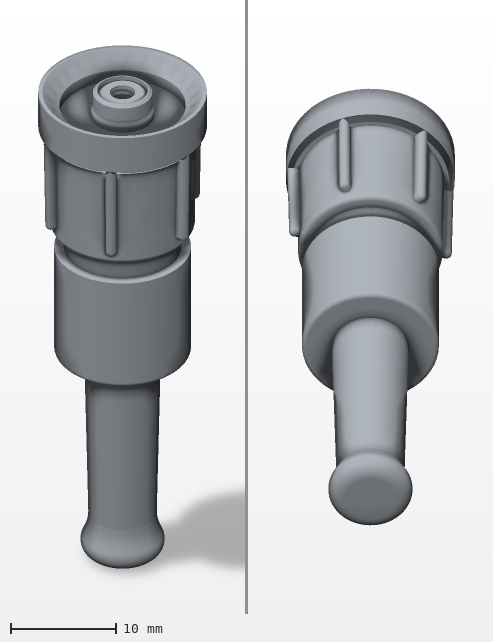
import cadquery as cq
import math

stem_flare_z = 4.6
body_bottom_z = 22.9
body_top_z = 34.7
barrel_bottom_z = 37.2
rib_bottom_z = 38.4
flange_bottom_z = 47.8
cup_floor_z = 49.5
cup_cone_z = 50.7
flange_top_z = 52.2
hub_top_z = 52.4

bulb_radius = 1.5
bulb_flat_radius = 2.5
stem_bottom_radius = 3.25
stem_top_radius = 3.65
body_radius = 6.5
neck_radius = 5.6
barrel_bottom_radius = 6.85
barrel_top_radius = 7.0
flange_radius = 8.0

body_fillet = 0.45
barrel_fillet = 0.45
flange_fillet = 0.5

cup_floor_radius = 6.0
cup_rim_radius = 7.6

hub_collar_radius = 2.98
hub_collar_height = 0.65
hub_radius = 2.82
hub_step_height = 1.0
hub_rim_radius = 2.5
hub_chamfer_height = 0.25
hub_groove_radius = 2.4
hub_groove_depth = 0.6
hub_face_radius = 2.0
hub_face_depth = 0.25

mouth_radius = 1.2
mouth_depth = 0.45
chamber_radius = 1.7
chamber_depth = 0.87
bore_radius = 1.1
bore_depth = 5.0

rib_count = 6
rib_width = 1.0
rib_depth = 2.0
rib_draft_angle = 1.0


def cylinder(radius, bottom_z, top_z):
    """Cylinder on the Z axis between two heights."""
    return cq.Workplane("XY").workplane(offset=bottom_z).circle(radius).extrude(top_z - bottom_z)


def cone(bottom_radius, bottom_z, top_radius, top_z):
    """Cone frustum on the Z axis between two heights."""
    return (
        cq.Workplane("XZ")
        .moveTo(0, bottom_z)
        .lineTo(bottom_radius, bottom_z)
        .lineTo(top_radius, top_z)
        .lineTo(0, top_z)
        .close()
        .revolve(360, (0, 0, 0), (0, 1, 0))
    )


def make_stem():
    """Tapered stem that flares through a concave arc into a rounded bulb."""
    offset = stem_bottom_radius - bulb_flat_radius
    rise = stem_flare_z - bulb_radius
    flare_radius = (offset**2 + rise**2 - bulb_radius**2) / (2 * (bulb_radius - offset))
    joint_angle = math.asin(rise / (bulb_radius + flare_radius))

    def on_bulb(angle):
        return (
            bulb_flat_radius + bulb_radius * math.cos(angle),
            bulb_radius + bulb_radius * math.sin(angle),
        )

    mid_flare_angle = joint_angle / 2
    mid_flare = (
        stem_bottom_radius + flare_radius * (1 - math.cos(mid_flare_angle)),
        stem_flare_z - flare_radius * math.sin(mid_flare_angle),
    )
    return (
        cq.Workplane("XZ")
        .lineTo(bulb_flat_radius, 0)
        .threePointArc(on_bulb(0), on_bulb(joint_angle))
        .threePointArc(mid_flare, (stem_bottom_radius, stem_flare_z))
        .lineTo(stem_top_radius, body_bottom_z)
        .lineTo(0, body_bottom_z)
        .close()
        .revolve(360, (0, 0, 0), (0, 1, 0))
    )


def make_body():
    """Cylindrical body with the narrower neck above it."""
    body = cylinder(body_radius, body_bottom_z, body_top_z).faces("<Z").edges().fillet(body_fillet)
    return body.union(cylinder(neck_radius, body_top_z, barrel_bottom_z))


def make_rib():
    """Round-nosed rib on the +X side, leaning inward towards its lower end."""
    half_width = rib_width / 2
    nose_x = flange_radius - half_width
    end_z = rib_bottom_z + half_width
    top_z = flange_bottom_z + flange_fillet
    height = top_z - end_z
    web = cq.Workplane("XY").box(rib_depth, rib_width, height, centered=(False, True, False))
    web = web.translate((nose_x - rib_depth, 0, end_z))
    web_end = cq.Workplane("YZ").circle(half_width).extrude(rib_depth)
    web_end = web_end.translate((nose_x - rib_depth, 0, end_z))
    nose = cq.Workplane("XY").circle(half_width).extrude(height).translate((nose_x, 0, end_z))
    nose_end = cq.Workplane("XY").sphere(half_width).translate((nose_x, 0, end_z))
    rib = web.union(web_end).union(nose).union(nose_end)
    return rib.rotate((nose_x, 0, top_z), (nose_x, 1, top_z), rib_draft_angle)


def make_cap():
    """Ribbed barrel topped by a wide flange with a conical cup sunk into it."""
    barrel = cone(barrel_bottom_radius, barrel_bottom_z, barrel_top_radius, flange_bottom_z)
    barrel = barrel.faces("<Z").edges().fillet(barrel_fillet)
    flange = cylinder(flange_radius, flange_bottom_z, flange_top_z)
    flange = flange.faces("<Z").edges().fillet(flange_fillet)
    cap = barrel.union(flange)
    rib = make_rib()
    for index in range(rib_count):
        angle = index * 360 / rib_count
        cap = cap.union(rib.rotate((0, 0, 0), (0, 0, 1), angle))
    cup = cylinder(cup_floor_radius, cup_floor_z, cup_cone_z)
    cup = cup.union(cone(cup_floor_radius, cup_cone_z, cup_rim_radius, flange_top_z))
    return cap.cut(cup)


def make_hub():
    """Stepped hub whose thin top rim surrounds a V groove and a slightly lower flat face."""
    face_z = hub_top_z - hub_face_depth
    return (
        cq.Workplane("XZ")
        .moveTo(0, cup_floor_z)
        .lineTo(hub_collar_radius, cup_floor_z)
        .lineTo(hub_collar_radius, cup_floor_z + hub_collar_height)
        .lineTo(hub_radius, cup_floor_z + hub_step_height)
        .lineTo(hub_radius, hub_top_z - hub_chamfer_height)
        .lineTo(hub_rim_radius, hub_top_z)
        .lineTo(hub_groove_radius, hub_top_z)
        .lineTo(hub_groove_radius, hub_top_z - hub_groove_depth)
        .lineTo(hub_face_radius, face_z)
        .lineTo(0, face_z)
        .close()
        .revolve(360, (0, 0, 0), (0, 1, 0))
    )


def make_bore():
    """Blind bore with its internal chamber, entering from the flat hub face."""
    face_z = hub_top_z - hub_face_depth
    mouth = cylinder(mouth_radius, face_z - mouth_depth, face_z)
    chamber = cylinder(chamber_radius, face_z - chamber_depth, face_z - mouth_depth)
    bore = cylinder(bore_radius, face_z - bore_depth, face_z - chamber_depth)
    return mouth.union(chamber).union(bore)


result = make_stem().union(make_body()).union(make_cap()).union(make_hub()).cut(make_bore())